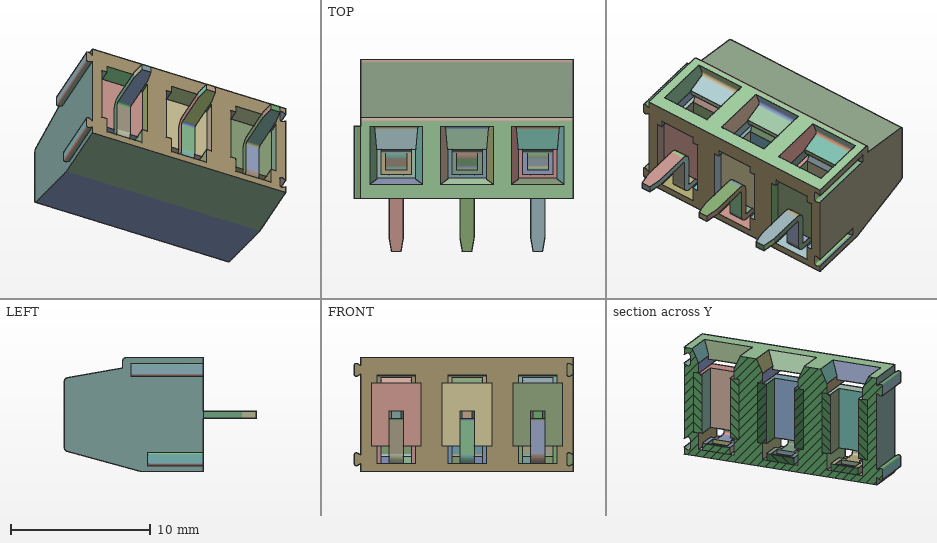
import cadquery as cq
import math


pole_count = 3
pitch = 5.08
pole_centres = [(i - (pole_count - 1) / 2) * pitch for i in range(pole_count)]

rail_reach = 0.47
housing_width = 15.74 - rail_reach
housing_depth = 10.0
housing_height = 8.2
hood_depth = 5.81
hood_step_z = 7.45
roof_slope = 10
underside_flat = 4.5
underside_slope = 15.3
corner_radius = 0.3

rail_neck_half = 0.31
rail_flare = 30
rail_radius = 0.15
rail_runs = [(7.3, 5.2), (0.88, 4.0)]

sheet = 0.52
inner_bend = 0.17
outer_bend = inner_bend + sheet
pin_bottom = 0.57
plate_top = pin_bottom + sheet
tail_length = 3.81
tail_bottom = 3.82
tail_width = 1.04
tail_taper_length = 1.0
tail_tip_width = 0.7
leg_front = 0.15
contact_width = 2.19
plate_front = 1.72
contact_front = 3.42
lead_in_start = 6.31
lead_in_top = 6.75
lead_in_angle = 26

recess_width = 1.51
recess_front = 2.05
recess_slope = 22
recess_top_radius = 1.04
recess_foot_radius = 0.52
recess_ramp_run = 0.5

cage_width = 3.57
cage_front = 0.83
cage_bottom = 1.83
cage_top = 6.37
cage_opening_back = 4.25
cage_back_wall = (cage_width - contact_width) / 2
cage_back = cage_opening_back + cage_back_wall

slot_width = 2.77
slot_top = 6.86
mouth_top = 6.93

funnel_top_width = 3.78
funnel_front = 1.02
funnel_back = 5.18
funnel_front_draft = 20
funnel_side_foot = 7.16
funnel_lip = 3.53
funnel_lip_z = 7.21
funnel_radius = 0.24


def tan(degrees):
    return math.tan(math.radians(degrees))


def box(x_centre, width, y_start, y_end, z_start, z_end):
    """Block centred on x_centre, with its other sides given by position."""
    return (
        cq.Workplane("XY", origin=(x_centre, y_start, z_start))
        .box(width, y_end - y_start, z_end - z_start, centered=(True, False, False))
    )


def side_profile(points, x_centre, width):
    """Extrude a (Y, Z) outline along X, centred on x_centre."""
    return cq.Workplane("YZ", origin=(x_centre, 0, 0)).polyline(points).close().extrude(width / 2, both=True)


def round_edge(body, x_centre, point, radius):
    """Fillet the edge along X that passes through the (Y, Z) point."""
    selector = cq.selectors.NearestToPointSelector((x_centre, *point))
    return body.edges("|X").edges(selector).fillet(radius)


def make_shell():
    """Outer block of the housing with its rounded rear corners."""
    rear_bottom = (housing_depth, (housing_depth - underside_flat) * tan(underside_slope))
    rear_top = (housing_depth, hood_step_z - (housing_depth - hood_depth) * tan(roof_slope))
    hood_corner = (hood_depth, housing_height)
    outline = [
        (0, 0),
        (underside_flat, 0),
        rear_bottom,
        rear_top,
        (hood_depth, hood_step_z),
        hood_corner,
        (0, housing_height),
    ]
    shell = side_profile(outline, 0, housing_width)
    for corner in (rear_bottom, rear_top, hood_corner):
        shell = round_edge(shell, 0, corner, corner_radius)
    return shell


def make_dovetail(x_root, z_centre, length):
    """Dovetail bar that starts at x_root and widens towards -X."""
    outer_half = rail_neck_half + rail_reach * tan(rail_flare)
    return (
        cq.Workplane("XZ", origin=(x_root, 0, z_centre))
        .polyline([
            (0, -rail_neck_half),
            (0, rail_neck_half),
            (-rail_reach, outer_half),
            (-rail_reach, -outer_half),
        ])
        .close()
        .extrude(-length)
        .edges("|Y and <X")
        .fillet(rail_radius)
    )


def make_funnel(x_centre):
    """Wire entry: the volume shared by a side outline and a front outline."""
    draft_run = (housing_height - slot_top) * tan(funnel_front_draft)
    ramp_back = (funnel_back, funnel_lip_z + (funnel_back - funnel_lip) * tan(roof_slope))
    side = side_profile(
        [
            (funnel_front, housing_height),
            (funnel_front + draft_run, slot_top),
            (funnel_lip, slot_top),
            (funnel_lip, funnel_lip_z),
            ramp_back,
            (funnel_back, housing_height),
        ],
        x_centre,
        funnel_top_width,
    )
    side = round_edge(side, x_centre, ramp_back, funnel_radius)
    front = (
        cq.Workplane("XZ", origin=(x_centre, 0, 0))
        .polyline([
            (-funnel_top_width / 2, housing_height),
            (-slot_width / 2, funnel_side_foot),
            (-slot_width / 2, slot_top),
            (slot_width / 2, slot_top),
            (slot_width / 2, funnel_side_foot),
            (funnel_top_width / 2, housing_height),
        ])
        .close()
        .extrude(-housing_depth)
    )
    return side.intersect(front)


def make_housing():
    body = make_shell()
    for z_centre, length in rail_runs:
        body = body.union(make_dovetail(-housing_width / 2, z_centre, length))
        body = body.cut(make_dovetail(housing_width / 2, z_centre, length))
    for x in pole_centres:
        body = body.cut(box(x, slot_width, 0, cage_opening_back, pin_bottom, slot_top))
        body = body.cut(box(x, slot_width, 0, funnel_lip, pin_bottom, mouth_top))
        body = body.cut(box(x, cage_width, 0, cage_back, cage_bottom, cage_top))
        body = body.cut(make_funnel(x))
    return body


def make_cage(x_centre):
    """Clamp block, open from top to bottom for the wire and the contact."""
    block = box(x_centre, cage_width, cage_front, cage_back, cage_bottom, cage_top)
    opening = box(x_centre, contact_width, plate_front, cage_opening_back, cage_bottom, cage_top)
    return block.cut(opening)


def make_bent_sheet(x_centre):
    """Tail, leg, floor plate and contact in side outline, at the full contact width."""
    leg_back = leg_front + sheet
    contact_back = contact_front + sheet
    lean = math.radians(lead_in_angle)
    tip_front = (contact_front + (lead_in_top - lead_in_start) * math.tan(lean), lead_in_top)
    tip_back = (tip_front[0] + sheet * math.cos(lean), tip_front[1] - sheet * math.sin(lean))
    tail_top = tail_bottom + sheet
    inner_corners = [(leg_front, tail_bottom), (leg_back, plate_top), (contact_front, plate_top)]
    outer_corners = [(leg_back, tail_top), (leg_front, pin_bottom), (contact_back, pin_bottom)]
    body = side_profile(
        [
            (-tail_length, tail_bottom),
            inner_corners[0],
            outer_corners[1],
            outer_corners[2],
            (contact_back, lead_in_start - sheet * math.tan(lean / 2)),
            tip_back,
            tip_front,
            (contact_front, lead_in_start),
            inner_corners[2],
            inner_corners[1],
            outer_corners[0],
            (-tail_length, tail_top),
        ],
        x_centre,
        contact_width,
    )
    for corner in inner_corners:
        body = round_edge(body, x_centre, corner, inner_bend)
    for corner in outer_corners:
        body = round_edge(body, x_centre, corner, outer_bend)
    return body


def make_pin_plan(x_centre):
    """Plan outline of the pin: tapered tip, narrow tail and leg, wide contact."""
    half_outline = [
        (tail_tip_width / 2, -tail_length),
        (tail_width / 2, tail_taper_length - tail_length),
        (tail_width / 2, plate_front),
        (contact_width / 2, plate_front),
        (contact_width / 2, housing_depth),
    ]
    mirrored = [(-x, y) for x, y in reversed(half_outline)]
    return (
        cq.Workplane("XY", origin=(x_centre, 0, 0))
        .polyline(half_outline + mirrored)
        .close()
        .extrude(housing_height)
    )


def make_plate_recess(x_centre):
    """Recess whose floor falls from the foot of the contact towards the leg in an S-shaped ramp."""
    slope = math.radians(recess_slope)
    recess_back = contact_front - inner_bend
    top_arc_end = (
        recess_back - recess_top_radius * math.sin(slope),
        plate_top - recess_top_radius * (1 - math.cos(slope)),
    )
    ramp_foot = (top_arc_end[0] - recess_ramp_run, top_arc_end[1] - recess_ramp_run * math.tan(slope))
    floor_start = (
        ramp_foot[0] - recess_foot_radius * math.sin(slope),
        ramp_foot[1] - recess_foot_radius * (1 - math.cos(slope)),
    )
    return (
        cq.Workplane("YZ", origin=(x_centre, 0, 0))
        .moveTo(recess_front, plate_top)
        .lineTo(recess_front, floor_start[1])
        .lineTo(*floor_start)
        .tangentArcPoint(ramp_foot, relative=False)
        .lineTo(*top_arc_end)
        .tangentArcPoint((recess_back, plate_top), relative=False)
        .close()
        .extrude(recess_width / 2, both=True)
    )


def make_pin(x_centre):
    return make_bent_sheet(x_centre).intersect(make_pin_plan(x_centre)).cut(make_plate_recess(x_centre))


housing = make_housing()
cages = [make_cage(x) for x in pole_centres]
pins = [make_pin(x) for x in pole_centres]

result = cq.Compound.makeCompound([
    housing.val(),
    *[cage.val() for cage in cages],
    *[pin.val() for pin in pins],
])